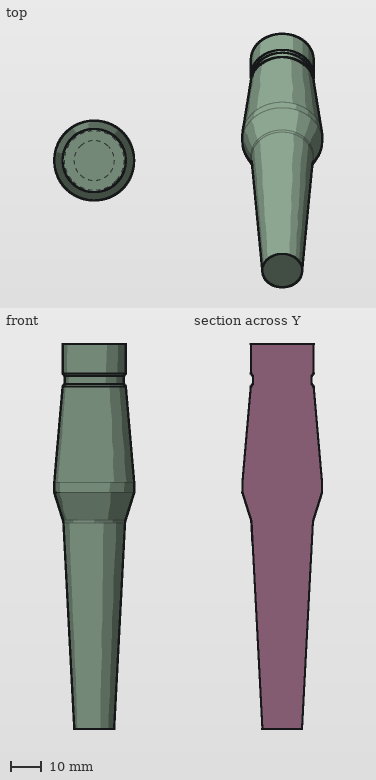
import cadquery as cq
import math

total_length = 125.0
belly_radius = 13.0

head_radius = 10.25
head_length = 9.6
groove_radius = 9.65
groove_length = 4.25
groove_flank = 0.8

band_top = 80.1
band_length = 3.3
upper_taper_angle = 5.0

shank_top = 67.4
tip_radius = 6.5
shank_top_radius = 10.05
blend_radius = 4.0

head_bottom = total_length - head_length
groove_bottom = head_bottom - groove_length
band_bottom = band_top - band_length
upper_taper_length = groove_bottom - band_top
shoulder_radius = belly_radius - upper_taper_length * math.tan(math.radians(upper_taper_angle))


def turned_body():
    """Solid of revolution about Z from the half profile (radius, height)."""
    profile = [
        (0, 0),
        (tip_radius, 0),
        (shank_top_radius, shank_top),
        (belly_radius, band_bottom),
        (belly_radius, band_top),
        (shoulder_radius, groove_bottom),
        (groove_radius, groove_bottom + groove_flank),
        (groove_radius, head_bottom - groove_flank),
        (head_radius, head_bottom),
        (head_radius, total_length),
        (0, total_length),
    ]
    return cq.Workplane("XZ").polyline(profile).close().revolve(360, (0, 0), (0, 1))


def blend_shank(body):
    """Round the inside corner between the belly and the shank."""
    pick_margin = 1.0
    corner = cq.selectors.BoxSelector(
        (-belly_radius, -belly_radius, shank_top - pick_margin),
        (belly_radius, belly_radius, shank_top + pick_margin),
    )
    return body.edges("%CIRCLE").edges(corner).fillet(blend_radius)


result = blend_shank(turned_body())